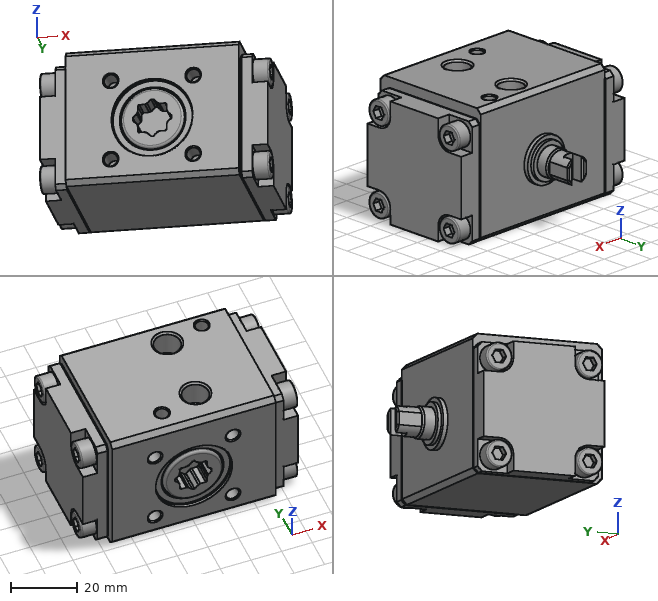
import cadquery as cq
import math


BODY_LENGTH = 53.4
BODY_DEPTH = 42.8
BODY_HEIGHT = 43.2
BODY_CHAMFER = 1.6

CAP_SIDE = 39.95
CAP_CHAMFER = 1.5
CAP_FACE_X = 35.1
GASKET_THICKNESS = 0.35
GASKET_INSET = 0.2
POCKET_FLOOR_X = 30.35
POCKET_SIDE = 9.8
POCKET_RADIUS = 4.8

SCREW_PITCH = 30.0
SCREW_HEAD_DIAMETER = 8.5
SCREW_END_X = 35.3
SCREW_FILLET = 0.4
SOCKET_ACROSS_FLATS = 4.0
SOCKET_DEPTH = 2.5

COLLAR_DIAMETER = 16.0
COLLAR_TOP = 1.5
RING_DIAMETER = 13.2
RING_TOP = 2.6
JOURNAL_DIAMETER = 10.0
JOURNAL_TOP = 6.9
JOURNAL_CHAMFER_HEIGHT = 0.65
JOURNAL_CHAMFER_WIDTH = 0.4
STEM_DIAMETER = 9.2
STEM_ACROSS_FLATS = 8.2
STEM_TOP = 14.9
STEM_CHAMFER = 0.5
SLOT_WIDTH = 3.95
SLOT_DEPTH = 4.0

RECESS_DIAMETER = 25.0
RECESS_CHAMFER = 0.3
RECESS_DEPTH = 1.3
BORE_MOUTH_DIAMETER = 20.4
SHAFT_DIAMETER = 19.5
SHAFT_FILLET = 0.85
SHAFT_END_DEPTH = 0.4
BORE_CHAMFER = (BORE_MOUTH_DIAMETER - SHAFT_DIAMETER) / 2
STAR_ACROSS_FLATS = 9.0
STAR_ACROSS_TIPS = 12.0
STAR_CORE_DIAMETER = 10.0
STAR_DEPTH = 7.4

DRILL_POINT_ANGLE = 118.0
SMALL_DRILL = 4.2
SMALL_MOUTH = 4.95
SMALL_DEPTH = 7.05
PORT_DRILL = 8.5
PORT_MOUTH = 9.75
PORT_DEPTH = 8.5
FRONT_HOLE_PITCH = 25.4
TOP_HOLES_X = 5.0
PORT_PITCH = 22.9
TOP_HOLE_PITCH_X = 25.0
TOP_HOLE_PITCH_Y = 30.0
TOP_HOLE_CENTER_Y = -0.4

BACK_Y = CAP_SIDE / 2
FRONT_Y = BACK_Y - BODY_DEPTH
BOTTOM_Z = -CAP_SIDE / 2
TOP_Z = BOTTOM_Z + BODY_HEIGHT
SIDE_X = BODY_LENGTH / 2
CAP_BASE_X = SIDE_X + GASKET_THICKNESS


def make_body():
    return (
        cq.Workplane("XY", origin=(0, (FRONT_Y + BACK_Y) / 2, BOTTOM_Z))
        .box(BODY_LENGTH, BODY_DEPTH, BODY_HEIGHT, centered=(True, True, False))
        .edges("|X")
        .chamfer(BODY_CHAMFER)
    )


def make_plate(side, chamfer, start_x, end_x):
    """Square plate with chamfered corners, lying between two X positions."""
    return (
        cq.Workplane("YZ", origin=(start_x, 0, 0))
        .rect(side, side)
        .extrude(end_x - start_x)
        .edges("|X")
        .chamfer(chamfer)
    )


def make_corner_pockets():
    """Four blocks reaching past the cap corners, rounded towards the cap centre."""
    pocket_block = 2 * POCKET_SIDE
    return (
        cq.Workplane("YZ", origin=(POCKET_FLOOR_X, 0, 0))
        .rarray(CAP_SIDE, CAP_SIDE, 2, 2)
        .rect(pocket_block, pocket_block)
        .extrude(CAP_FACE_X - POCKET_FLOOR_X)
        .edges("|X")
        .fillet(POCKET_RADIUS)
    )


def make_screws():
    heads = (
        cq.Workplane("YZ", origin=(POCKET_FLOOR_X, 0, 0))
        .rarray(SCREW_PITCH, SCREW_PITCH, 2, 2)
        .circle(SCREW_HEAD_DIAMETER / 2)
        .extrude(SCREW_END_X - POCKET_FLOOR_X)
        .faces(">X")
        .edges()
        .fillet(SCREW_FILLET)
    )
    sockets = (
        cq.Workplane("YZ", origin=(SCREW_END_X - SOCKET_DEPTH, 0, 0))
        .rarray(SCREW_PITCH, SCREW_PITCH, 2, 2)
        .polygon(6, SOCKET_ACROSS_FLATS / math.cos(math.pi / 6))
        .extrude(SOCKET_DEPTH)
    )
    return heads.cut(sockets)


def make_end_assembly():
    """Gasket, cap and screws of the +X end."""
    gasket = make_plate(CAP_SIDE - 2 * GASKET_INSET, CAP_CHAMFER, SIDE_X, CAP_BASE_X)
    cap = make_plate(CAP_SIDE, CAP_CHAMFER, CAP_BASE_X, CAP_FACE_X)
    return cap.cut(make_corner_pockets()).union(gasket).union(make_screws())


def make_forked_stem():
    """Slotted stem: a round bar narrowed to two flats, with all edges of its tip chamfered."""
    round_bar = (
        cq.Workplane("XZ", origin=(0, BACK_Y + JOURNAL_TOP, 0))
        .circle(STEM_DIAMETER / 2)
        .extrude(JOURNAL_TOP - STEM_TOP)
        .faces(">Y")
        .chamfer(STEM_CHAMFER)
    )
    flat_x = STEM_ACROSS_FLATS / 2
    slot_x = SLOT_WIDTH / 2
    shoulder = STEM_TOP - STEM_CHAMFER
    slot_floor = STEM_TOP - SLOT_DEPTH
    right_half = [
        (flat_x, JOURNAL_TOP),
        (flat_x, shoulder),
        (flat_x - STEM_CHAMFER, STEM_TOP),
        (slot_x + STEM_CHAMFER, STEM_TOP),
        (slot_x, shoulder),
        (slot_x, slot_floor),
    ]
    left_half = [(-x, y) for x, y in reversed(right_half)]
    fork = (
        cq.Workplane("XY", origin=(0, BACK_Y, 0))
        .polyline(right_half + left_half)
        .close()
        .extrude(STEM_DIAMETER / 2, both=True)
    )
    return round_bar.intersect(fork)


def make_back_shaft():
    journal_radius = JOURNAL_DIAMETER / 2
    stepped_profile = [
        (0, 0),
        (COLLAR_DIAMETER / 2, 0),
        (COLLAR_DIAMETER / 2, COLLAR_TOP),
        (RING_DIAMETER / 2, COLLAR_TOP),
        (RING_DIAMETER / 2, RING_TOP),
        (journal_radius, RING_TOP),
        (journal_radius, JOURNAL_TOP - JOURNAL_CHAMFER_HEIGHT),
        (journal_radius - JOURNAL_CHAMFER_WIDTH, JOURNAL_TOP),
        (0, JOURNAL_TOP),
    ]
    steps = (
        cq.Workplane("XY", origin=(0, BACK_Y, 0))
        .polyline(stepped_profile)
        .close()
        .revolve(360, (0, 0), (0, 1))
    )
    return steps.union(make_forked_stem())


def make_front_recess():
    """Recess in the front face, down to the rounded end of the shaft and the bore around it."""
    recess_radius = RECESS_DIAMETER / 2
    shaft_radius = SHAFT_DIAMETER / 2
    fillet_middle = SHAFT_FILLET * (1 - math.sqrt(0.5))
    return (
        cq.Workplane("XY", origin=(0, FRONT_Y, 0))
        .moveTo(0, 0)
        .lineTo(recess_radius, 0)
        .lineTo(recess_radius, RECESS_DEPTH - RECESS_CHAMFER)
        .lineTo(recess_radius - RECESS_CHAMFER, RECESS_DEPTH)
        .lineTo(BORE_MOUTH_DIAMETER / 2, RECESS_DEPTH)
        .lineTo(shaft_radius, RECESS_DEPTH + BORE_CHAMFER)
        .lineTo(shaft_radius, SHAFT_END_DEPTH + SHAFT_FILLET)
        .threePointArc(
            (shaft_radius - fillet_middle, SHAFT_END_DEPTH + fillet_middle),
            (shaft_radius - SHAFT_FILLET, SHAFT_END_DEPTH),
        )
        .lineTo(0, SHAFT_END_DEPTH)
        .close()
        .revolve(360, (0, 0), (0, 1))
    )


def make_star_socket():
    """Two crossed squares, one turned by 45 degrees, with their tips trimmed and their roots opened to circles."""
    floor = cq.Workplane("XZ", origin=(0, FRONT_Y + STAR_DEPTH, 0))
    square = floor.rect(STAR_ACROSS_FLATS, STAR_ACROSS_FLATS).extrude(STAR_DEPTH)
    turned_square = square.rotate((0, 0, 0), (0, 1, 0), 45)
    tip_limit = floor.circle(STAR_ACROSS_TIPS / 2).extrude(STAR_DEPTH)
    core = floor.circle(STAR_CORE_DIAMETER / 2).extrude(STAR_DEPTH)
    return square.union(turned_square).union(core).intersect(tip_limit)


def make_drilling(drill, mouth, depth):
    """Countersunk hole with a drill point, going down from the origin."""
    countersink = (mouth - drill) / 2
    point = drill / 2 / math.tan(math.radians(DRILL_POINT_ANGLE / 2))
    profile = [
        (0, 0),
        (mouth / 2, 0),
        (drill / 2, -countersink),
        (drill / 2, -depth),
        (0, -depth - point),
    ]
    return cq.Workplane("XZ").polyline(profile).close().revolve(360, (0, 0), (0, 1))


def drill_holes(body):
    small = make_drilling(SMALL_DRILL, SMALL_MOUTH, SMALL_DEPTH)
    port = make_drilling(PORT_DRILL, PORT_MOUTH, PORT_DEPTH)
    from_front = small.rotate((0, 0, 0), (1, 0, 0), 90)
    for side in (-1, 1):
        for level in (-1, 1):
            x = side * FRONT_HOLE_PITCH / 2
            z = level * FRONT_HOLE_PITCH / 2
            body = body.cut(from_front.translate((x, FRONT_Y, z)))
        body = body.cut(port.translate((TOP_HOLES_X, side * PORT_PITCH / 2, TOP_Z)))
        x = TOP_HOLES_X + side * TOP_HOLE_PITCH_X / 2
        y = TOP_HOLE_CENTER_Y + side * TOP_HOLE_PITCH_Y / 2
        body = body.cut(small.translate((x, y, TOP_Z)))
    return body


end_assembly = make_end_assembly()
housing = drill_holes(make_body()).cut(make_front_recess()).cut(make_star_socket())
result = housing.union(end_assembly).union(end_assembly.mirror("YZ")).union(make_back_shaft())